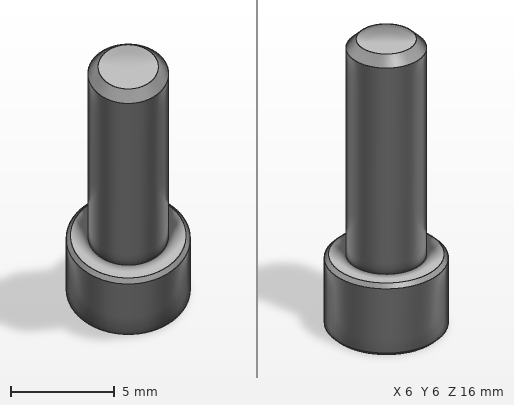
import cadquery as cq

total_length = 16.0
head_height = 4.0
head_diameter = 6.0
head_chamfer = 0.2
shank_diameter = 3.9
tip_chamfer = 0.5
shank_length = total_length - head_height

head = (
    cq.Workplane("XY")
    .circle(head_diameter / 2)
    .extrude(head_height)
    .edges()
    .chamfer(head_chamfer)
)

shank = (
    cq.Workplane("XY")
    .workplane(offset=head_height)
    .circle(shank_diameter / 2)
    .extrude(shank_length)
    .faces(">Z")
    .edges()
    .chamfer(tip_chamfer)
)

result = head.union(shank)